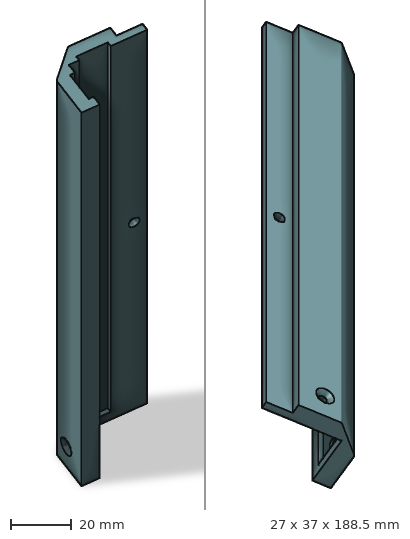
import cadquery as cq

width_x = 27.0
depth_y = 37.0
length = 188.5

leg_thickness = 7.0
bevel_leg = 10.7
bevel_edge_radius = 1.5
lip_width = 10.0
lip_setback = 4.0

channel_width = 12.0
channel_depth = 1.9
channel_stop_height = 4.0

screw_offset = 17.0
screw_height = 10.0
screw_diameter = 3.2
countersink_diameter = 6.8
countersink_angle = 90.0
lip_hole_diameter = 4.1

lip_start = depth_y - lip_width


def angle_body():
    """Extruded profile whose virtual outer corner is the origin."""
    body = (
        cq.Workplane("XY")
        .moveTo(bevel_leg, 0)
        .lineTo(width_x, 0)
        .lineTo(width_x, leg_thickness)
        .lineTo(leg_thickness, leg_thickness)
        .lineTo(leg_thickness, depth_y)
        .lineTo(lip_setback, depth_y)
        .lineTo(lip_setback, lip_start)
        .lineTo(0, lip_start)
        .lineTo(0, bevel_leg)
        .close()
        .extrude(length)
    )
    for corner in ((bevel_leg, 0), (0, bevel_leg)):
        nearest = cq.selectors.NearestToPointSelector((*corner, length / 2))
        body = body.edges(nearest).fillet(bevel_edge_radius)
    return body


def channel(size_x, size_y, center_x, center_y):
    """Cutter for a channel running from its stop to the top end."""
    return (
        cq.Workplane("XY", origin=(center_x, center_y, channel_stop_height))
        .rect(size_x, size_y)
        .extrude(length - channel_stop_height)
    )


def side_plane(normal, along_leg, height):
    """Plane on an outer face (X = 0 or Y = 0) with its normal pointing outwards."""
    if normal == "X":
        return cq.Plane(origin=(0, along_leg, height), xDir=(0, 1, 0), normal=(-1, 0, 0))
    return cq.Plane(origin=(along_leg, 0, height), xDir=(1, 0, 0), normal=(0, -1, 0))


result = angle_body()

channel_center = leg_thickness - channel_depth / 2
result = result.cut(channel(channel_depth, channel_width, channel_center, screw_offset))
result = result.cut(channel(channel_width, channel_depth, screw_offset, channel_center))

for face_normal in ("X", "Y"):
    result = result.copyWorkplane(
        cq.Workplane(side_plane(face_normal, screw_offset, screw_height))
    ).cskHole(screw_diameter, countersink_diameter, countersink_angle, depth=leg_thickness)

result = result.copyWorkplane(
    cq.Workplane(side_plane("X", depth_y - lip_width / 2, length / 2))
).hole(lip_hole_diameter, depth=leg_thickness)